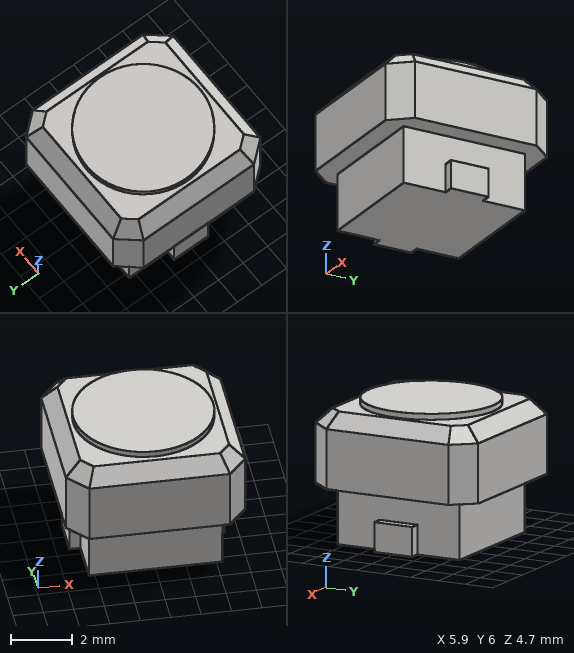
import cadquery as cq

base_length = 4.38
base_width = 4.5
base_height = 2.0

tab_span = 5.1
tab_width = 1.385
tab_height = base_height / 2

cap_length = 5.9
cap_width = 6.0
corner_cut_x = 0.635
corner_cut_y = 0.75
bevel = 0.505
cap_wall_height = base_height
cap_height = cap_wall_height + bevel

total_height = 4.7
disc_diameter = 4.6
disc_height = total_height - base_height - cap_height


def block(length, width, height):
    """Box centred on the Z axis and standing on Z = 0."""
    return cq.Workplane("XY").box(length, width, height, centered=(True, True, False))


def make_cap():
    """Octagonal cap standing on the base, bevelled around its top face."""
    half_x = cap_length / 2
    half_y = cap_width / 2
    flat_x = half_x - corner_cut_x
    flat_y = half_y - corner_cut_y
    outline = [
        (half_x, -flat_y),
        (half_x, flat_y),
        (flat_x, half_y),
        (-flat_x, half_y),
        (-half_x, flat_y),
        (-half_x, -flat_y),
        (-flat_x, -half_y),
        (flat_x, -half_y),
    ]
    cap = cq.Workplane("XY").workplane(offset=base_height).polyline(outline).close().extrude(cap_height)
    return cap.faces(">Z").chamfer(bevel)


def make_disc():
    """Shallow disc standing on the cap."""
    cap_top = base_height + cap_height
    return cq.Workplane("XY").workplane(offset=cap_top).circle(disc_diameter / 2).extrude(disc_height)


base = block(base_length, base_width, base_height)
tabs = block(tab_span, tab_width, tab_height)
result = base.union(tabs).union(make_cap()).union(make_disc())